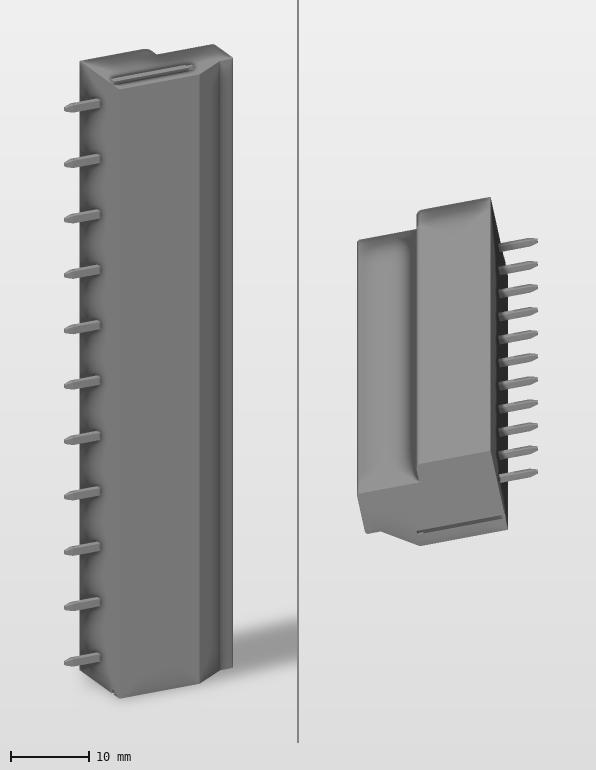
import cadquery as cq

pole_count = 11
pitch = 7.62
body_length = pole_count * pitch
body_width = 11.2
body_depth = 18.0
step_width = 2.5
step_depth = 9.8
step_radius = 0.8
rear_right_x = 8.2
slope_top_y = 16.0
slope_bottom_y = 11.5
rear_corner_radius = 0.4

pin_width = 0.8
pin_height = 1.0
pin_length = 5.0
pin_tip_length = 1.0
pin_tip_scale = 0.5
pin_x = body_width / 2

rail_x = 9.3
rail_height = 0.6
stem_width = 0.5
crest_width = 1.1
flare_length = 10.7
stem_length = 11.5


def make_body():
    outline = (
        cq.Workplane("XY")
        .lineTo(body_width, 0)
        .lineTo(body_width, slope_bottom_y)
        .lineTo(rear_right_x, slope_top_y)
        .lineTo(rear_right_x, body_depth)
        .lineTo(step_width, body_depth)
        .lineTo(step_width, step_depth)
        .lineTo(0, step_depth)
        .close()
    )
    body = outline.extrude(body_length)
    body = round_long_edge(body, 0, step_depth, step_radius)
    body = round_long_edge(body, step_width, body_depth, rear_corner_radius)
    return round_long_edge(body, rear_right_x, body_depth, rear_corner_radius)


def round_long_edge(body, x, y, radius):
    """Fillet the edge of the body that runs along Z through (x, y)."""
    edge = cq.selectors.NearestToPointSelector((x, y, body_length / 2))
    return body.edges(edge).fillet(radius)


def make_rail(base_z):
    """Rail running back from the front face, its sides flaring upwards from base_z."""
    crest_z = base_z + rail_height
    flare = (
        cq.Workplane("XZ")
        .moveTo(rail_x - stem_width / 2, base_z)
        .lineTo(rail_x + stem_width / 2, base_z)
        .lineTo(rail_x + crest_width / 2, crest_z)
        .lineTo(rail_x - crest_width / 2, crest_z)
        .close()
        .extrude(-flare_length)
    )
    stem = cq.Workplane("XY").box(stem_width, stem_length, rail_height, centered=(True, False, False))
    return flare.union(stem.translate((rail_x, 0, base_z)))


def make_pin(z):
    """Rectangular pin pointing towards -Y, with a tapered tip."""
    tip_start = pin_length - pin_tip_length
    shank = cq.Workplane("XZ").center(pin_x, z).rect(pin_width, pin_height).extrude(tip_start)
    tip = (
        shank.faces("<Y")
        .workplane(centerOption="CenterOfMass")
        .rect(pin_width, pin_height)
        .workplane(offset=pin_tip_length)
        .rect(pin_width * pin_tip_scale, pin_height * pin_tip_scale)
        .loft(ruled=True, combine=False)
    )
    return shank.union(tip)


result = make_body()
result = result.union(make_rail(body_length))
result = result.cut(make_rail(0))
first_pin_z = pitch / 2
for pole in range(pole_count):
    result = result.union(make_pin(first_pin_z + pole * pitch))